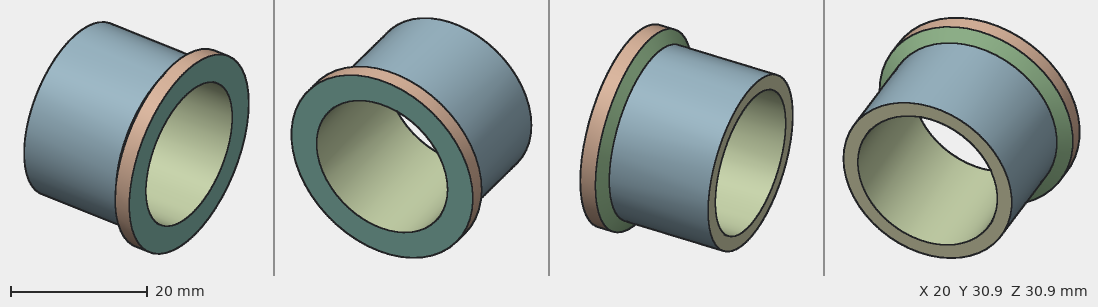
import cadquery as cq

total_length = 20.0
tube_diameter = 26.9
bore_diameter = 22.3
flange_diameter = 30.9
flange_thickness = 2.5
cone_length = 1.25

tube_radius = tube_diameter / 2
bore_radius = bore_diameter / 2
flange_radius = flange_diameter / 2
flange_start = total_length - flange_thickness
cone_start = flange_start - cone_length


def make_flanged_sleeve():
    """Revolve the wall section (X along the axis, Y as radius) about the X axis."""
    wall_section = (
        cq.Workplane("XY")
        .moveTo(0, bore_radius)
        .lineTo(0, tube_radius)
        .lineTo(cone_start, tube_radius)
        .lineTo(flange_start, flange_radius)
        .lineTo(total_length, flange_radius)
        .lineTo(total_length, bore_radius)
        .close()
    )
    return wall_section.revolve(360, (0, 0, 0), (1, 0, 0))


result = make_flanged_sleeve()